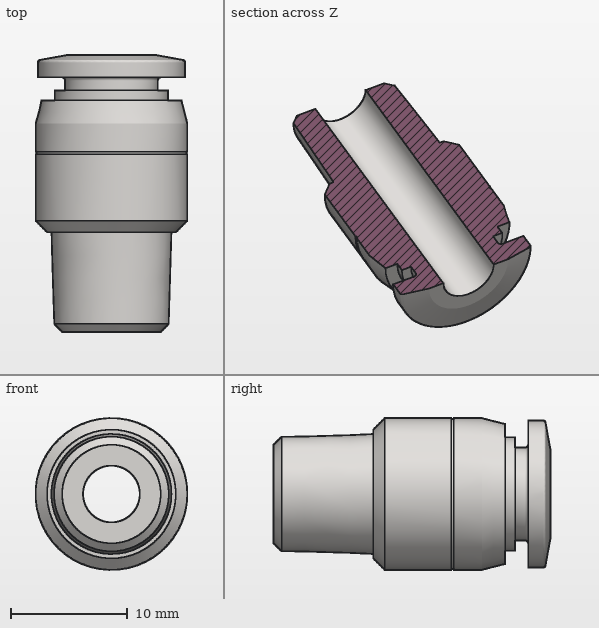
import cadquery as cq

length = 23.7
bore_radius = 2.42

stem_length = 8.53
stem_tip_radius = 4.9
stem_root_radius = 5.15
stem_chamfer = 0.69

body_diameter = 13.0
body_front_chamfer = 1.0
groove_start = 15.22
groove_width = 0.21
groove_depth = 0.07
body_taper_start = 17.82
body_end = 19.81
body_end_radius = 6.0

collar_radius = 4.85
collar_end = 20.67
neck_radius = 3.98

button_start = 21.78
button_radius = 6.3
button_cone_start = 23.25
button_face_radius = 3.82
button_edge_fillet = 0.24
neck_fillet = 0.25

body_radius = body_diameter / 2
body_front_radius = body_radius - body_front_chamfer
groove_end = groove_start + groove_width
groove_radius = body_radius - groove_depth

profile = [
    (bore_radius, 0),
    (stem_tip_radius - stem_chamfer, 0),
    (stem_tip_radius, stem_chamfer),
    (stem_root_radius, stem_length),
    (body_front_radius, stem_length),
    (body_radius, stem_length + body_front_chamfer),
    (body_radius, groove_start),
    (groove_radius, groove_start),
    (groove_radius, groove_end),
    (body_radius, groove_end),
    (body_radius, body_taper_start),
    (body_end_radius, body_end),
    (collar_radius, body_end),
    (collar_radius, collar_end),
    (neck_radius, collar_end),
    (neck_radius, button_start),
    (button_radius, button_start),
    (button_radius, button_cone_start),
    (button_face_radius, length),
    (bore_radius, length),
]

turned_body = cq.Workplane("XY").polyline(profile).close().revolve(360, (0, 0, 0), (0, 1, 0))


def round_circle(solid, circle_radius, y, fillet_radius):
    """Fillet the circular edge of the given radius at position y on the axis."""
    tolerance = 0.002
    circles = solid.edges("%CIRCLE").filter(
        lambda edge: abs(edge.Center().y - y) < tolerance
        and abs(edge.radius() - circle_radius) < tolerance
    )
    return circles.fillet(fillet_radius)


rounded_neck = round_circle(turned_body, neck_radius, button_start, neck_fillet)
result = round_circle(rounded_neck, button_radius, button_cone_start, button_edge_fillet)